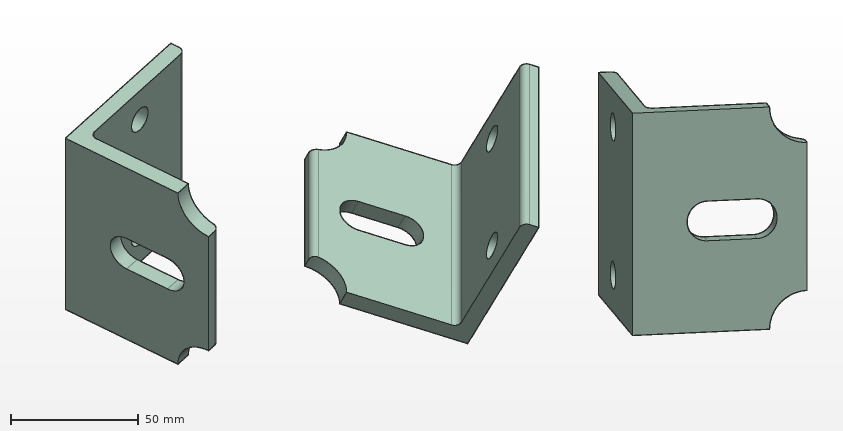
import cadquery as cq

height = 90.0
leg_length = 70.0
thickness = leg_length / 10
inner_fillet = 3.0
tip_fillet = 3.0

feature_offset = 40.0

slot_length = 36.0
slot_width = 16.0

hole_diameter = 11.0
hole_end_distance = 15.0

notch_radius = 15.0


def angle_body():
    """L-section with a rounded inner corner and rounded inner tip edges."""
    profile = [
        (0, 0),
        (leg_length, 0),
        (leg_length, thickness),
        (thickness, thickness),
        (thickness, leg_length),
        (0, leg_length),
    ]
    body = cq.Workplane("XY").polyline(profile).close().extrude(height)
    inner_corner = cq.selectors.NearestToPointSelector((thickness, thickness, height / 2))
    body = body.edges(inner_corner).fillet(inner_fillet)
    for tip in [(leg_length, thickness), (thickness, leg_length)]:
        tip_edge = cq.selectors.NearestToPointSelector((*tip, height / 2))
        body = body.edges(tip_edge).fillet(tip_fillet)
    return body


def front_leg_cutter():
    """Slot and corner notches, cut along Y through the front leg."""
    front = cq.Workplane("XZ")
    slot = front.center(feature_offset, height / 2).slot2D(slot_length, slot_width).extrude(-thickness)
    corners = [(leg_length, 0), (leg_length, height)]
    notches = front.pushPoints(corners).circle(notch_radius).extrude(-thickness)
    return slot.union(notches)


def side_leg_cutter():
    """Two round holes, cut along X through the side leg."""
    centers = [(feature_offset, hole_end_distance), (feature_offset, height - hole_end_distance)]
    return cq.Workplane("YZ").pushPoints(centers).circle(hole_diameter / 2).extrude(thickness)


result = angle_body().cut(front_leg_cutter()).cut(side_leg_cutter())